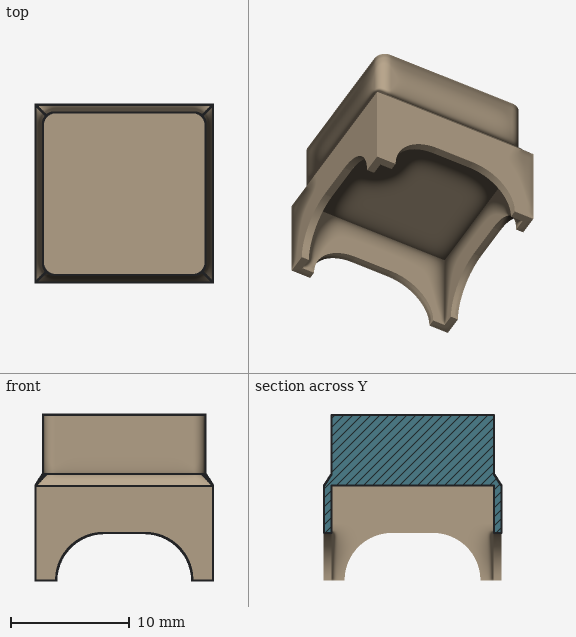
import cadquery as cq
import math

base_side = 15.0
shoulder_height = 8.0
bevel_height = 1.0
total_height = 14.0
top_side = 13.71
top_corner_radius = 1.0
bevel_corner_setback = 1.1
arch_width = 11.46
arch_height = 4.0
wall_thickness = 0.68

cos_45 = math.cos(math.radians(45))
top_block_height = total_height - shoulder_height - bevel_height
cavity_side = base_side - 2 * wall_thickness
arch_half_width = arch_width / 2
arch_flat_half_width = arch_half_width - arch_height
arc_mid_offset = arch_height * cos_45


def make_skirt():
    """Straight square lower body."""
    return cq.Workplane("XY").rect(base_side, base_side).extrude(shoulder_height)


def corner_outline(side, setback, corner_inset, height):
    """Closed square outline made of a straight run per side and two edges per corner.

    Each corner runs from one setback point to the other by way of a point that lies
    corner_inset in from both sides. With no inset the corner is sharp and its edges
    are straight. Otherwise the corner is an arc, split in two at its midpoint.
    """
    half = side / 2
    near = half - setback
    tip = half - corner_inset
    arc_centre = cq.Vector(near, near, height)
    corner = [cq.Vector(half, near, height), cq.Vector(tip, tip, height), cq.Vector(near, half, height)]
    edges = []
    for start, end in zip(corner, corner[1:]):
        if corner_inset == 0:
            edges.append(cq.Edge.makeLine(start, end))
        else:
            direction = ((start + end) / 2 - arc_centre).normalized()
            edges.append(cq.Edge.makeThreePointArc(start, arc_centre + direction * setback, end))
    edges.append(cq.Edge.makeLine(corner[-1], cq.Vector(-near, half, height)))
    axis_start = cq.Vector(0, 0, 0)
    axis_end = cq.Vector(0, 0, 1)
    outline = [edge.rotate(axis_start, axis_end, 90 * turn) for turn in range(4) for edge in edges]
    return cq.Wire.assembleEdges(outline)


def make_bevel():
    """Ruled loft from the sharp-cornered skirt to the rounded key block."""
    arc_inset = top_corner_radius * (1 - cos_45)
    lower = corner_outline(base_side, bevel_corner_setback, 0, shoulder_height)
    upper = corner_outline(top_side, top_corner_radius, arc_inset, shoulder_height + bevel_height)
    return cq.Workplane(cq.Solid.makeLoft([lower, upper], True))


def make_top_block():
    """Key block with rounded vertical edges."""
    return (
        cq.Workplane("XY", origin=(0, 0, shoulder_height + bevel_height))
        .rect(top_side, top_side)
        .extrude(top_block_height)
        .edges("|Z")
        .fillet(top_corner_radius)
    )


def make_cavity():
    """Square hollow that opens downward and ends at the shoulder."""
    return cq.Workplane("XY").rect(cavity_side, cavity_side).extrude(shoulder_height)


def make_arch(plane):
    """Flat-topped arch with quarter-circle sides, running right through the part."""
    return (
        cq.Workplane(plane)
        .moveTo(-arch_half_width, 0)
        .threePointArc(
            (-arch_flat_half_width - arc_mid_offset, arc_mid_offset),
            (-arch_flat_half_width, arch_height),
        )
        .lineTo(arch_flat_half_width, arch_height)
        .threePointArc(
            (arch_flat_half_width + arc_mid_offset, arc_mid_offset),
            (arch_half_width, 0),
        )
        .close()
        .extrude(base_side / 2, both=True)
    )


result = make_skirt().union(make_bevel()).union(make_top_block())
result = result.cut(make_cavity())
for arch_plane in ("XZ", "YZ"):
    result = result.cut(make_arch(arch_plane))